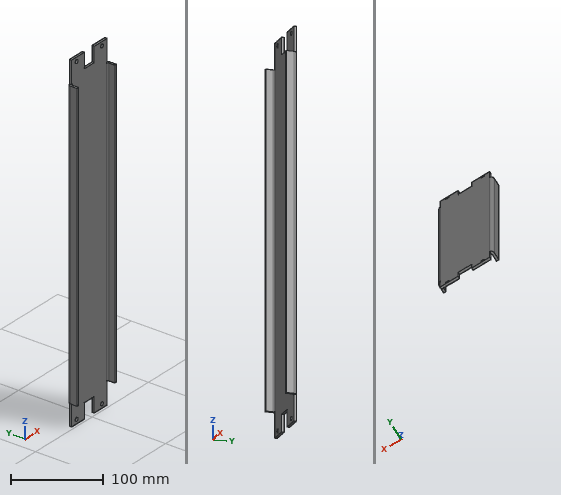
import cadquery as cq

length = 449.0
overall_width = 70.0
overall_depth = 13.0
thickness = 3.0

inner_bend_radius = 2.0
outer_bend_radius = 4.0

tab_width = 63.0
tab_length = 30.0
flange_length = length - 2 * tab_length

notch_width = 17.0
notch_depth = 20.0

hole_diameter = 4.5
hole_spacing = 45.0
hole_end_distance = 5.5


def make_rounded_block(width, depth, bend_radius):
    """Block of flange length standing on Y = 0, with its two +Y long edges rounded."""
    return (
        cq.Workplane("XY")
        .box(width, depth, flange_length, centered=(True, False, True))
        .edges("|Z and >Y")
        .fillet(bend_radius)
    )


def make_channel():
    """U-section with rounded bends: web at the back (+Y), flanges toward -Y."""
    outside = make_rounded_block(overall_width, overall_depth, outer_bend_radius)
    inside = make_rounded_block(
        overall_width - 2 * thickness,
        overall_depth - thickness,
        inner_bend_radius,
    )
    return outside.cut(inside)


def make_tab(end):
    """Flat tab continuing the web past the flanges; end is +1 (top) or -1 (bottom)."""
    center_y = overall_depth - thickness / 2
    center_z = end * (length - tab_length) / 2
    return (
        cq.Workplane("XY")
        .box(tab_width, thickness, tab_length)
        .translate((0, center_y, center_z))
    )


def make_notch(end):
    """Cutter for the notch in the middle of one end; end is +1 (top) or -1 (bottom)."""
    center_z = end * (length - notch_depth) / 2
    return (
        cq.Workplane("XY")
        .box(notch_width, overall_depth, notch_depth)
        .translate((0, overall_depth, center_z))
    )


def make_holes():
    """Cutters for the four mounting holes, running along Y through the tabs."""
    return (
        cq.Workplane("XZ")
        .rect(hole_spacing, length - 2 * hole_end_distance, forConstruction=True)
        .vertices()
        .circle(hole_diameter / 2)
        .extrude(-overall_depth)
    )


panel = make_channel()
for end in (1, -1):
    panel = panel.union(make_tab(end)).cut(make_notch(end))

result = panel.cut(make_holes())